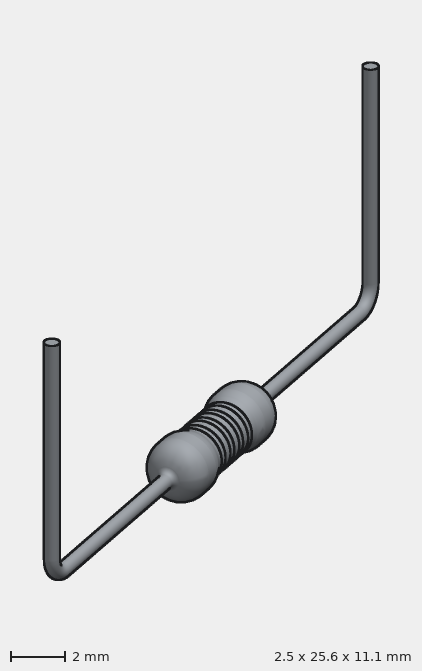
import cadquery as cq
import math


lead_diameter = 0.6
lead_spacing = 25.0
lead_height = 9.85
bend_radius = 0.9

body_diameter = 2.12
cap_diameter = 2.5
cap_inner_end = 1.93
cap_outer_end = 2.51
body_half_length = 3.65
dome_radius = 0.91

band_diameter = 2.15
band_width = 0.3
band_pitch = 0.69
band_count = 4

lead_radius = lead_diameter / 2
body_radius = body_diameter / 2
cap_radius = cap_diameter / 2
half_spacing = lead_spacing / 2
waist_half_length = ((band_count - 1) * band_pitch + band_width) / 2


def ring(diameter, centre, length):
    """Solid cylinder about the Y axis, centred at the given Y position."""
    return (
        cq.Workplane("XZ", origin=(0, centre + length / 2, 0))
        .circle(diameter / 2)
        .extrude(length)
    )


def end_cap():
    """Bulged +Y end of the body, from the waist to the lead, revolved about the Y axis."""
    arc_length = (cap_inner_end - waist_half_length) / 2
    arc_rise = (cap_radius - body_radius) / 2
    blend_radius = (arc_length**2 + arc_rise**2) / (2 * arc_rise)

    end_length = body_half_length - cap_outer_end
    end_drop = cap_radius - lead_radius
    centre_distance = (end_length**2 + end_drop**2) / (2 * end_drop)
    fillet_radius = centre_distance - dome_radius
    tangent_angle = math.asin(1 - end_drop / centre_distance)
    dome_end = (
        cap_radius - dome_radius + dome_radius * math.sin(tangent_angle),
        cap_outer_end + dome_radius * math.cos(tangent_angle),
    )

    profile = (
        cq.Workplane("XY")
        .moveTo(0, waist_half_length)
        .lineTo(body_radius, waist_half_length)
        .radiusArc((body_radius + arc_rise, waist_half_length + arc_length), blend_radius)
        .radiusArc((cap_radius, cap_inner_end), -blend_radius)
        .lineTo(cap_radius, cap_outer_end)
        .radiusArc(dome_end, -dome_radius)
        .radiusArc((lead_radius, body_half_length), fillet_radius)
        .lineTo(0, body_half_length)
        .close()
    )
    return profile.revolve(360, (0, 0, 0), (0, 1, 0))


def colour_band(index):
    """Slightly raised ring on the waist."""
    centre = (index - (band_count - 1) / 2) * band_pitch
    return ring(band_diameter, centre, band_width)


def half_lead():
    """Lead from the waist end out along +Y, then bent up to its tip."""
    path = (
        cq.Workplane("YZ")
        .moveTo(waist_half_length, 0)
        .lineTo(half_spacing - bend_radius, 0)
        .tangentArcPoint((half_spacing, bend_radius), relative=False)
        .lineTo(half_spacing, lead_height)
    )
    section = cq.Workplane("XZ", origin=(0, waist_half_length, 0)).circle(lead_radius)
    return section.sweep(path)


end = end_cap().union(half_lead())
result = ring(body_diameter, 0, 2 * waist_half_length).union(end).union(end.mirror("XZ"))
for band_index in range(band_count):
    result = result.union(colour_band(band_index))